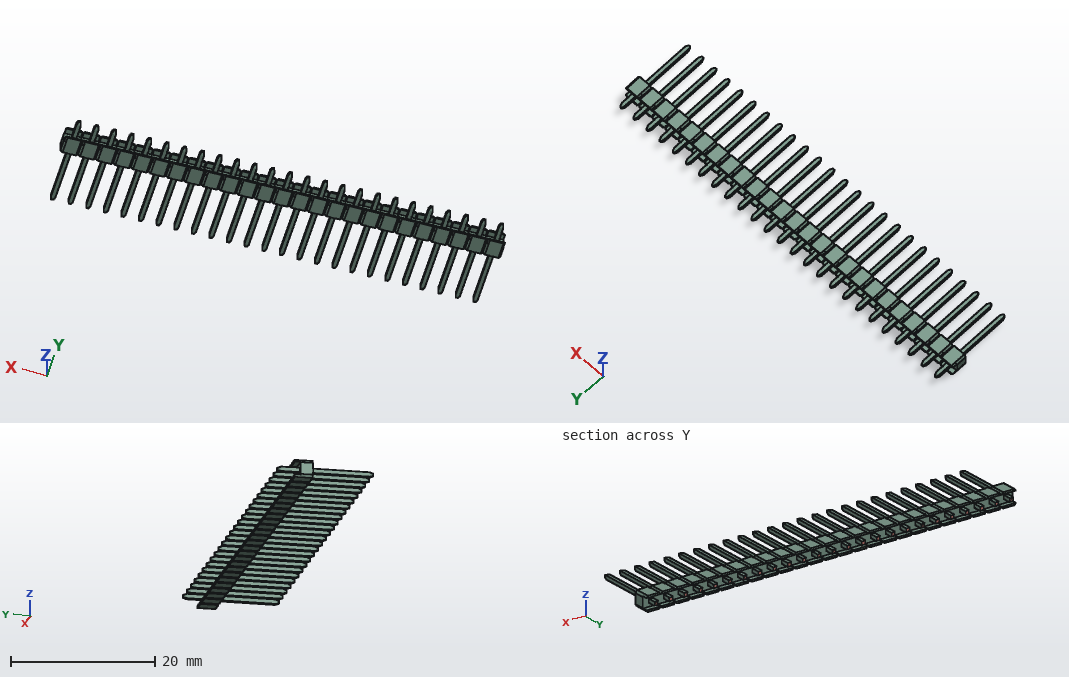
import cadquery as cq

pin_count = 25
total_length = 63.5

body_height = 2.5
body_depth = 2.55
bevel_width = 0.3
bevel_height = 0.4

channel_depth = 0.8
channel_height = 1.85

pin_size = 0.65
pin_length = 13.6
pin_tail = 2.3
pin_offset = -0.1
tip_length = 0.5
tip_size = 0.3

pitch = total_length / pin_count
body_back = body_depth / 2
pin_back = body_back + pin_tail
pin_front = pin_back - pin_length
first_block_x = (pitch - total_length) / 2


def housing_block():
    """Block one pitch long, bevelled along its four long corners and channelled across its back."""
    half_length = pitch / 2
    half_height = body_height / 2
    flat_x = half_length - bevel_width
    flat_z = half_height - bevel_height
    outline = [
        (-half_length, -flat_z),
        (-flat_x, -half_height),
        (flat_x, -half_height),
        (half_length, -flat_z),
        (half_length, flat_z),
        (flat_x, half_height),
        (-flat_x, half_height),
        (-half_length, flat_z),
    ]
    block = cq.Workplane("XZ", origin=(0, body_back, 0)).polyline(outline).close().extrude(body_depth)
    channel_center = (0, body_back - channel_depth / 2, 0)
    channel = cq.Workplane("XY").box(pitch, channel_depth, channel_height).translate(channel_center)
    return block.cut(channel)


def pin_tip(shoulder_y, end_y):
    """Square taper from the full pin section to the blunt end."""
    return (
        cq.Workplane("XZ", origin=(pin_offset, shoulder_y, 0))
        .rect(pin_size, pin_size)
        .workplane(offset=shoulder_y - end_y)
        .rect(tip_size, tip_size)
        .loft(ruled=True)
    )


def pin():
    """Straight square pin with a tapered tip at both ends."""
    shank_back = pin_back - tip_length
    shank_front = pin_front + tip_length
    shank = (
        cq.Workplane("XZ", origin=(pin_offset, shank_back, 0))
        .rect(pin_size, pin_size)
        .extrude(shank_back - shank_front)
    )
    return shank.union(pin_tip(shank_back, pin_back)).union(pin_tip(shank_front, pin_front))


station = housing_block().union(pin()).val()
stations = [station.translate(cq.Vector(first_block_x + i * pitch, 0, 0)) for i in range(pin_count)]
result = cq.Workplane(stations[0].fuse(*stations[1:])).clean()